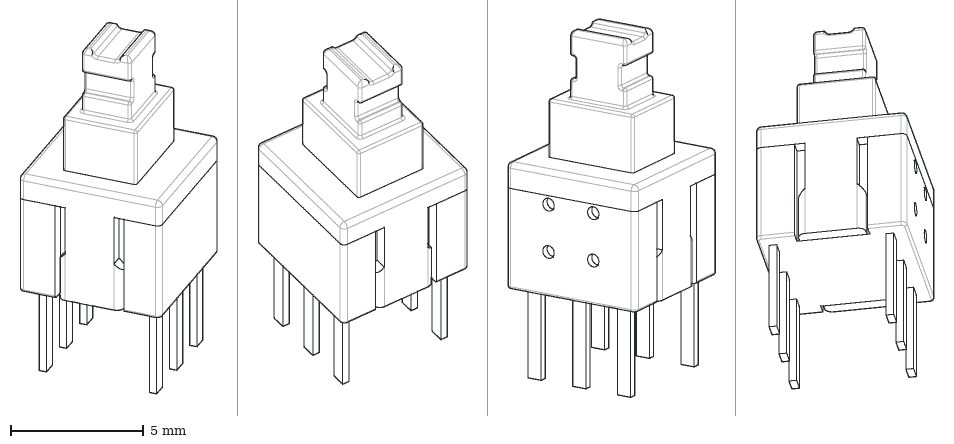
import cadquery as cq
import math


PIN_LENGTH = 3.6
BASE_HEIGHT = 4.0
COVER_HEIGHT = 1.0
SHOULDER_HEIGHT = 2.3
KNOB_HEIGHT = 2.69

LARGE_ROUND = 0.2
SMALL_ROUND = 0.1

HOUSING_SIDE = 5.8
TONGUE_WIDTH = 2.0
TONGUE_THICKNESS = 0.5
NOTCH_WIDTH = 2.8

BUMP_REACH = 0.3
BUMP_TOP = 2.0
BUMP_SLOPE_HEIGHT = 0.3

HOLE_DIAMETER = 0.5
HOLE_DEPTH = 0.3
HOLE_SPACING_Y = 2.0
HOLE_HEIGHTS = (1.77, 3.65)

SHOULDER_WIDTH = 3.0
SHOULDER_LENGTH = 3.8
KNOB_WIDTH = 2.0
KNOB_LENGTH = 2.5
GROOVE_TOP_BELOW_KNOB_TOP = 1.0
GROOVE_HEIGHT = 0.9
GROOVE_DEPTH = 0.25
CHANNEL_WIDTH = 1.0
CHANNEL_ARC_TURN = math.radians(60)

PIN_THICKNESS = 0.3
PIN_WIDTH = 0.6
PIN_PITCH_Y = 2.0
PIN_ROW_SPACING = 4.5
PIN_ROW_OFFSET = 0.1

COVER_TOP = BASE_HEIGHT + COVER_HEIGHT
SHOULDER_TOP = COVER_TOP + SHOULDER_HEIGHT
KNOB_TOP = SHOULDER_TOP + KNOB_HEIGHT


def block(width, length, bottom, height):
    """Box centred on the Z axis, standing on the level `bottom`."""
    return cq.Workplane("XY", origin=(0, 0, bottom)).box(width, length, height, centered=(True, True, False))


def make_base():
    base = block(HOUSING_SIDE, HOUSING_SIDE, 0, BASE_HEIGHT)
    base = base.edges("|Z").fillet(LARGE_ROUND).faces("<Z").edges().fillet(SMALL_ROUND)
    notch_y = (HOUSING_SIDE - TONGUE_THICKNESS) / 2
    for side in (-1, 1):
        notch = block(NOTCH_WIDTH, TONGUE_THICKNESS, 0, BASE_HEIGHT)
        base = base.cut(notch.translate((0, side * notch_y, 0)))
    for y in (-HOLE_SPACING_Y / 2, HOLE_SPACING_Y / 2):
        for z in HOLE_HEIGHTS:
            wall_point = cq.Workplane("YZ", origin=(-HOUSING_SIDE / 2, y, z))
            base = base.cut(wall_point.circle(HOLE_DIAMETER / 2).extrude(HOLE_DEPTH))
    return base


def make_front_tongue():
    front_y = -HOUSING_SIDE / 2
    tongue_y = front_y + TONGUE_THICKNESS / 2
    tongue = block(TONGUE_WIDTH, TONGUE_THICKNESS, 0, BASE_HEIGHT).translate((0, tongue_y, 0))
    bump_width = TONGUE_WIDTH + 2 * BUMP_REACH
    bumps = block(bump_width, TONGUE_THICKNESS, 0, BUMP_TOP).translate((0, tongue_y, 0))
    bumps = bumps.edges("|Z and <Y").fillet(BUMP_REACH)
    slope_bottom = BUMP_TOP - BUMP_SLOPE_HEIGHT
    bump_outline = (
        cq.Workplane("XZ", origin=(0, front_y, 0))
        .moveTo(-bump_width / 2, 0)
        .lineTo(bump_width / 2, 0)
        .lineTo(bump_width / 2, slope_bottom)
        .lineTo(TONGUE_WIDTH / 2, BUMP_TOP)
        .lineTo(-TONGUE_WIDTH / 2, BUMP_TOP)
        .lineTo(-bump_width / 2, slope_bottom)
        .close()
        .extrude(-TONGUE_THICKNESS)
    )
    return tongue.union(bumps.intersect(bump_outline))


def make_cover():
    cover = block(HOUSING_SIDE, HOUSING_SIDE, BASE_HEIGHT, COVER_HEIGHT)
    cover = cover.edges("|Z").fillet(LARGE_ROUND).faces(">Z").edges().fillet(LARGE_ROUND)
    tongue = make_front_tongue()
    return cover.union(tongue).union(tongue.mirror("XZ"))


def make_channel():
    """Cutter for the finger channel along Y: two rounded ridges flow into a flat floor by equal arcs."""
    radius = LARGE_ROUND
    floor = KNOB_TOP - radius
    ridge_x = CHANNEL_WIDTH / 2 + radius
    turn = CHANNEL_ARC_TURN
    meet_x = ridge_x - radius * math.sin(turn)
    floor_x = ridge_x - 2 * radius * math.sin(turn)
    meet_z = floor + radius * math.cos(turn)
    mid_x = radius * math.sin(turn / 2)
    mid_drop = radius * (1 - math.cos(turn / 2))
    return (
        cq.Workplane("XZ", origin=(0, KNOB_LENGTH / 2, 0))
        .moveTo(-ridge_x, KNOB_TOP)
        .threePointArc((-ridge_x + mid_x, KNOB_TOP - mid_drop), (-meet_x, meet_z))
        .threePointArc((-floor_x - mid_x, floor + mid_drop), (-floor_x, floor))
        .lineTo(floor_x, floor)
        .threePointArc((floor_x + mid_x, floor + mid_drop), (meet_x, meet_z))
        .threePointArc((ridge_x - mid_x, KNOB_TOP - mid_drop), (ridge_x, KNOB_TOP))
        .close()
        .extrude(KNOB_LENGTH)
    )


def make_channelled_block():
    """Envelope of the knob with the channel cut through and the channel's open ends rounded."""
    envelope = block(KNOB_WIDTH, KNOB_LENGTH, SHOULDER_TOP, KNOB_HEIGHT).cut(make_channel())
    upper_part = cq.selectors.BoxSelector(
        (-KNOB_WIDTH, -KNOB_LENGTH, KNOB_TOP - 2 * LARGE_ROUND),
        (KNOB_WIDTH, KNOB_LENGTH, KNOB_TOP + LARGE_ROUND),
    )
    top_end_edges = envelope.faces("<Y or >Y").edges("not |Z").edges(upper_part)
    return top_end_edges.fillet(SMALL_ROUND)


def make_plunger():
    shoulder = block(SHOULDER_WIDTH, SHOULDER_LENGTH, COVER_TOP, SHOULDER_HEIGHT)
    shoulder = shoulder.edges("|Z").fillet(SMALL_ROUND).faces(">Z").edges().fillet(SMALL_ROUND)

    knob = block(KNOB_WIDTH, KNOB_LENGTH, SHOULDER_TOP, KNOB_HEIGHT)
    groove_z = KNOB_TOP - GROOVE_TOP_BELOW_KNOB_TOP - GROOVE_HEIGHT
    for side in (-1, 1):
        groove = block(KNOB_WIDTH, 2 * GROOVE_DEPTH, groove_z, GROOVE_HEIGHT)
        knob = knob.cut(groove.translate((0, side * KNOB_LENGTH / 2, 0)))
    inside_knob = cq.selectors.BoxSelector(
        (-KNOB_WIDTH, -KNOB_LENGTH, SHOULDER_TOP + SMALL_ROUND),
        (KNOB_WIDTH, KNOB_LENGTH, KNOB_TOP - SMALL_ROUND),
    )
    knob = knob.edges("|X").edges(inside_knob).fillet(SMALL_ROUND)
    knob = knob.faces("<X or >X").edges(inside_knob).fillet(SMALL_ROUND)
    knob = knob.faces(">Z").edges().fillet(LARGE_ROUND)
    knob = knob.intersect(make_channelled_block())

    plunger = shoulder.union(knob)
    knob_foot = cq.selectors.BoxSelector(
        (-KNOB_WIDTH / 2 - SMALL_ROUND, -KNOB_LENGTH / 2 - SMALL_ROUND, SHOULDER_TOP - SMALL_ROUND / 2),
        (KNOB_WIDTH / 2 + SMALL_ROUND, KNOB_LENGTH / 2 + SMALL_ROUND, SHOULDER_TOP + SMALL_ROUND / 2),
    )
    return plunger.edges(knob_foot).fillet(SMALL_ROUND)


def make_pin(x, y):
    return block(PIN_THICKNESS, PIN_WIDTH, -PIN_LENGTH, PIN_LENGTH).translate((x, y, 0))


base = make_base()
cover = make_cover()
plunger = make_plunger()
pins = [
    make_pin(PIN_ROW_OFFSET + side * PIN_ROW_SPACING / 2, row * PIN_PITCH_Y).val()
    for side in (-1, 1)
    for row in (-1, 0, 1)
]

result = cq.Compound.makeCompound([base.solids().val(), cover.solids().val(), plunger.solids().val(), *pins])